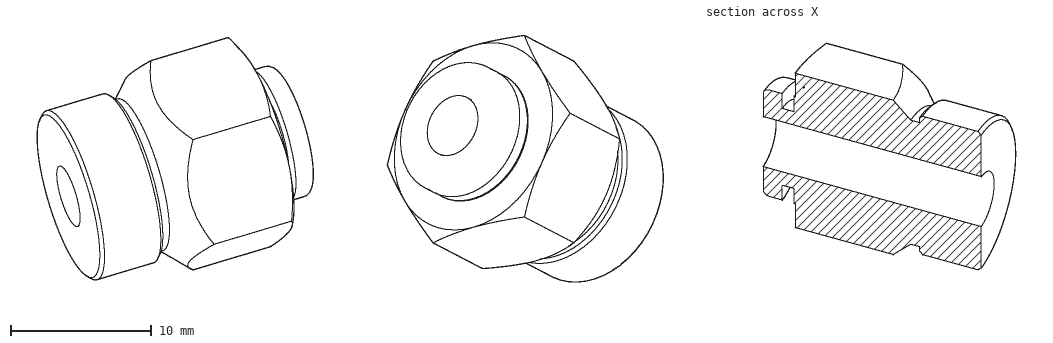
import cadquery as cq
import math

thread_end = 4.83
neck_end = 5.49
hex_end = 14.5
seat_end = 14.6
collar_start = 15.5
total_length = 17.0

bore_radius = 2.25
thread_radius = 6.29
neck_radius = 5.65
seat_radius = 4.85
sleeve_radius = 3.5
collar_radius = 4.85
across_flats = 14.0
across_corners = across_flats / math.cos(math.radians(30))

thread_chamfer = 0.25
collar_fillet = 0.48
rear_chamfer_angle = 30.0


def cylinder(radius, start, end):
    """Solid cylinder along +Y between two axial positions."""
    plane = cq.Workplane("XZ", origin=(0, start, 0))
    return plane.circle(radius).extrude(start - end)


def hex_body():
    """Hexagon with corners on X, trimmed by a front cone and a rear chamfer."""
    corner_radius = across_corners / 2
    flat_radius = across_flats / 2
    prism = (
        cq.Workplane("XZ", origin=(0, neck_end, 0))
        .polygon(6, across_corners)
        .extrude(neck_end - hex_end)
    )
    front_cone_end = neck_end + corner_radius - neck_radius
    rear_chamfer_length = (corner_radius - flat_radius) * math.tan(math.radians(rear_chamfer_angle))
    envelope = (
        cq.Workplane("XY")
        .moveTo(0, neck_end)
        .lineTo(neck_radius, neck_end)
        .lineTo(corner_radius, front_cone_end)
        .lineTo(corner_radius, hex_end - rear_chamfer_length)
        .lineTo(flat_radius, hex_end)
        .lineTo(0, hex_end)
        .close()
        .revolve(360, (0, 0, 0), (0, 1, 0))
    )
    return prism.intersect(envelope)


thread = cylinder(thread_radius, 0, thread_end).edges().chamfer(thread_chamfer)
neck = cylinder(neck_radius, thread_end, neck_end)
seat = cylinder(seat_radius, hex_end, seat_end)
sleeve = cylinder(sleeve_radius, seat_end, collar_start)
collar = cylinder(collar_radius, collar_start, total_length).faces(">Y").edges().fillet(collar_fillet)
bore = cylinder(bore_radius, 0, total_length)

result = thread.union(neck).union(hex_body()).union(seat).union(sleeve).union(collar).cut(bore)